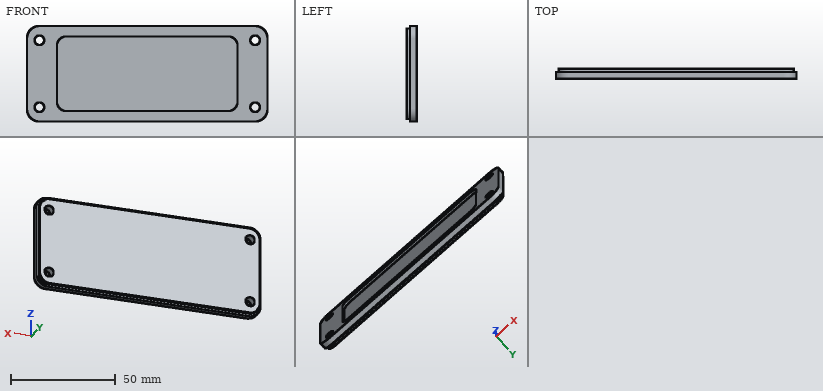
import cadquery as cq

length = 115.0
height = 45.8
corner_radius = 6.0
flange_thickness = 3.3

total_thickness = 5.0
step_inset = 1.3

recess_length = 86.2
recess_height = 35.6
recess_radius = 4.5
recess_depth = 1.5

hole_diameter = 4.5
hole_spacing_x = 103.0
hole_spacing_z = 32.0


def rounded_plate(size_x, size_z, radius, thickness):
    """Rounded rectangle in XZ, extending from Y = 0 toward +Y."""
    return (
        cq.Workplane("XZ")
        .rect(size_x, size_z)
        .extrude(-thickness)
        .edges("|Y")
        .fillet(radius)
    )


flange = rounded_plate(length, height, corner_radius, flange_thickness)
step = rounded_plate(
    length - 2 * step_inset,
    height - 2 * step_inset,
    corner_radius - step_inset,
    total_thickness,
)
recess = rounded_plate(recess_length, recess_height, recess_radius, recess_depth)
holes = (
    cq.Workplane("XZ")
    .rect(hole_spacing_x, hole_spacing_z, forConstruction=True)
    .vertices()
    .circle(hole_diameter / 2)
    .extrude(-total_thickness)
)

result = flange.union(step).cut(recess).cut(holes)